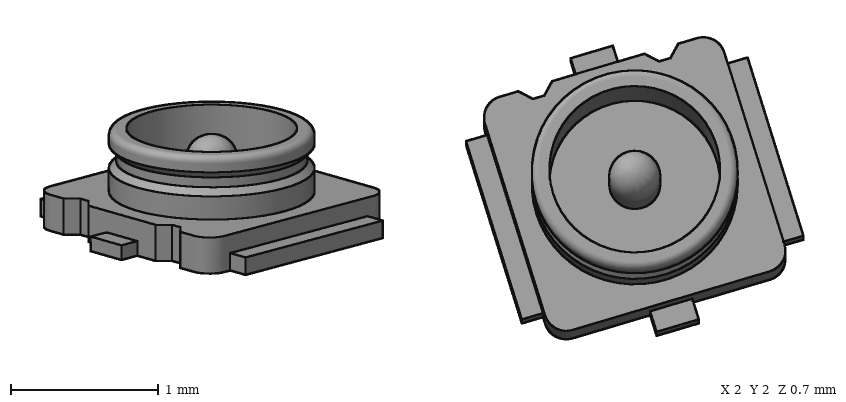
import cadquery as cq

span = 2.0
total_height = 0.7

base_side = 1.7
base_height = 0.255
corner_radius = 0.15

notch_offset = 0.448
notch_floor_width = 0.08
notch_depth = 0.08

side_tab_length = 1.3
side_tab_height = 0.125
end_tab_width = 0.3
front_tab_height = 0.105
rear_tab_height = 0.125

ring_radius = 0.7
bore_radius = 0.58
groove_depth = 0.05
groove_floor_height = 0.07
lower_band_height = 0.165
lip_round = 0.05

pin_radius = 0.175
pin_round = 0.16
pin_top = 0.65


def make_base():
    base = cq.Workplane("XY").rect(base_side, base_side).extrude(base_height)
    base = base.edges("|Z").fillet(corner_radius)
    for side in (-1, 1):
        base = base.cut(make_notch(side * notch_offset))
    return base


def make_notch(x_center):
    """Trapezoidal notch with 45 degree flanks, through the full base height."""
    half_floor = notch_floor_width / 2
    half_mouth = half_floor + notch_depth
    y_edge = -base_side / 2
    outline = [
        (x_center - half_mouth, y_edge),
        (x_center - half_floor, y_edge + notch_depth),
        (x_center + half_floor, y_edge + notch_depth),
        (x_center + half_mouth, y_edge),
    ]
    return cq.Workplane("XY").polyline(outline).close().extrude(base_height)


def make_tabs():
    """Bars running under the base and projecting from all four sides."""
    tabs = cq.Workplane("XY").rect(span, side_tab_length).extrude(side_tab_height)
    for side, height in ((-1, front_tab_height), (1, rear_tab_height)):
        end_tab = (
            cq.Workplane("XY")
            .center(0, side * span / 4)
            .rect(end_tab_width, span / 2)
            .extrude(height)
        )
        tabs = tabs.union(end_tab)
    return tabs


def make_ring():
    """Revolved wall; the groove has 45 degree flanks and the top rim is rounded."""
    groove_radius = ring_radius - groove_depth
    groove_start = base_height + lower_band_height
    groove_floor_start = groove_start + groove_depth
    groove_floor_end = groove_floor_start + groove_floor_height
    groove_end = groove_floor_end + groove_depth
    profile = (
        cq.Workplane("XZ")
        .moveTo(bore_radius, base_height)
        .lineTo(ring_radius, base_height)
        .lineTo(ring_radius, groove_start)
        .lineTo(groove_radius, groove_floor_start)
        .lineTo(groove_radius, groove_floor_end)
        .lineTo(ring_radius, groove_end)
        .lineTo(ring_radius, total_height - lip_round)
        .radiusArc((ring_radius - lip_round, total_height), -lip_round)
        .lineTo(bore_radius, total_height)
        .close()
    )
    return profile.revolve(360, (0, 0, 0), (0, 1, 0))


def make_pin():
    """Cylinder with a rounded end that leaves a tiny flat at the tip."""
    pin = cq.Workplane("XY").workplane(offset=base_height).circle(pin_radius).extrude(pin_top - base_height)
    return pin.faces(">Z").edges().fillet(pin_round)


result = make_base().union(make_tabs()).union(make_ring()).union(make_pin())